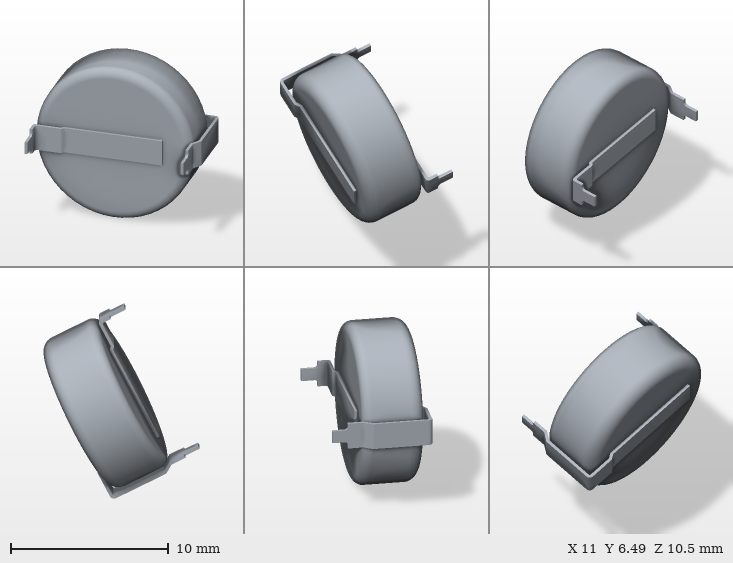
import cadquery as cq
import math

cell_radius = 5.25
cell_depth = 4.0
front_edge_radius = 0.6
rear_edge_radius = 0.8
rear_face = cell_depth / 2
front_face = -rear_face

sheet = 0.2
terminal_width = 1.7
tip_width = 0.81
shoulder_y = -3.0
shoulder_fillet = 0.2
jog_radius = 0.16
right_angle_bend = 3
selection_margin = 0.005

front_strip_end_x = 3.31
front_jog_x = -3.16
front_jog_offset = 0.19
front_tip_y = -4.07
front_bend_outer_radius = 0.2
front_bend_inner_radius = 0.15

rear_strip_end_x = -3.56
rear_jog_x = 3.38
rear_jog_length = 0.33
rear_jog_offset = 0.22
rear_leg_x = 5.71
leg_jog_start_y = -1.45
leg_jog_end_y = -2.03
leg_jog_offset = 0.38
rear_tip_y = -4.01
rear_bend_outer_radius = 0.28
rear_bend_inner_radius = 0.11


def offset_path(path, distance):
    """Shift an open path to its right by a distance, with mitred corners."""
    headings = [math.atan2(y1 - y0, x1 - x0) for (x0, y0), (x1, y1) in zip(path, path[1:])]
    before = headings[:1] + headings
    after = headings + headings[-1:]
    shifted = []
    for (x, y), angle_in, angle_out in zip(path, before, after):
        half_turn = math.remainder(angle_out - angle_in, 2 * math.pi) / 2
        direction = angle_in + half_turn - math.pi / 2
        reach = distance / math.cos(half_turn)
        shifted.append((x + reach * math.cos(direction), y + reach * math.sin(direction)))
    return shifted


def round_corner(body, corner, radius):
    """Fillet the edge along Z that passes through an XY corner."""
    x, y = corner
    box = cq.selectors.BoxSelector(
        (x - selection_margin, y - selection_margin, -terminal_width),
        (x + selection_margin, y + selection_margin, terminal_width),
    )
    return body.edges("|Z").edges(box).fillet(radius)


def tip_envelope(tip_y):
    """Side profile limit: full width behind the shoulder, narrow at the tip."""
    envelope_length = 2 * cell_depth
    span = 4 * cell_radius
    body_block = cq.Workplane("XY").box(
        span, envelope_length, terminal_width
    ).translate((0, shoulder_y + envelope_length / 2, 0))
    tip_length = shoulder_y - tip_y
    tip_block = cq.Workplane("XY").box(
        span, tip_length, tip_width
    ).translate((0, shoulder_y - tip_length / 2, 0))
    inner_corners = cq.selectors.BoxSelector(
        (-span, shoulder_y - selection_margin, -tip_width / 2 - selection_margin),
        (span, shoulder_y + selection_margin, tip_width / 2 + selection_margin),
    )
    return body_block.union(tip_block).edges("|X").edges(inner_corners).fillet(shoulder_fillet)


def bent_terminal(path, bend, path_radius, far_radius):
    """Sheet lying to the right of a path, with its end narrowed to a pin.

    The path corner numbered bend is the right-angle bend; other corners are jogs.
    """
    far_path = offset_path(path, sheet)
    outline = path + far_path[::-1]
    terminal = (
        cq.Workplane("XY")
        .polyline(outline)
        .close()
        .extrude(terminal_width / 2, both=True)
    )
    for index in range(1, len(path) - 1):
        at_bend = index == bend
        terminal = round_corner(terminal, path[index], path_radius if at_bend else jog_radius)
        terminal = round_corner(terminal, far_path[index], far_radius if at_bend else jog_radius)
    tip_y = path[-1][1]
    return terminal.intersect(tip_envelope(tip_y))


def make_can():
    """Round can with a rounded rim at each end."""
    can = (
        cq.Workplane("XZ")
        .circle(cell_radius)
        .extrude(cell_depth / 2, both=True)
    )
    can = can.faces("<Y").edges().fillet(front_edge_radius)
    return can.faces(">Y").edges().fillet(rear_edge_radius)


def make_front_terminal():
    """Strip on the front face, stepping out and turning forward into a pin."""
    strip_y = front_face - sheet
    raised_y = strip_y - front_jog_offset
    pin_inner_x = -cell_radius + sheet
    path = [
        (front_strip_end_x, strip_y),
        (front_jog_x, strip_y),
        (front_jog_x - front_jog_offset, raised_y),
        (pin_inner_x, raised_y),
        (pin_inner_x, front_tip_y),
    ]
    return bent_terminal(path, right_angle_bend, front_bend_inner_radius, front_bend_outer_radius)


def make_rear_terminal():
    """Strip on the rear face, wrapping around the can's side into a forward pin."""
    strip_y = rear_face + sheet
    raised_y = strip_y + rear_jog_offset
    pin_x = rear_leg_x - leg_jog_offset
    path = [
        (rear_strip_end_x, strip_y),
        (rear_jog_x, strip_y),
        (rear_jog_x + rear_jog_length, raised_y),
        (rear_leg_x, raised_y),
        (rear_leg_x, leg_jog_start_y),
        (pin_x, leg_jog_end_y),
        (pin_x, rear_tip_y),
    ]
    return bent_terminal(path, right_angle_bend, rear_bend_outer_radius, rear_bend_inner_radius)


cell = make_can().union(make_rear_terminal())
front_terminal = make_front_terminal()

result = cq.Compound.makeCompound([cell.val(), front_terminal.val()])